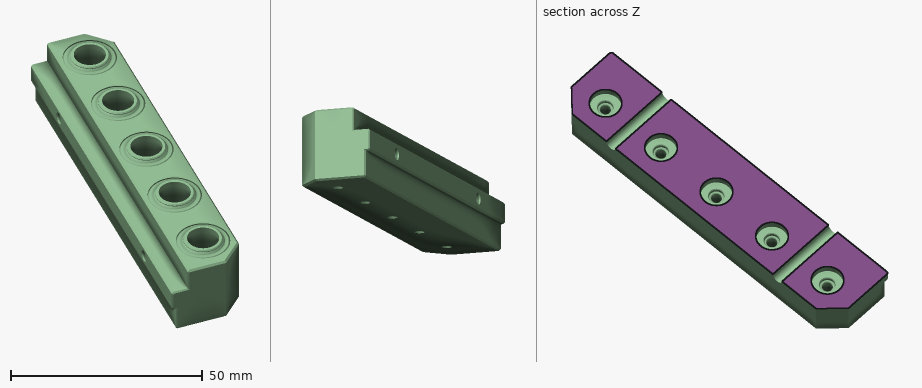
import cadquery as cq

LENGTH = 100.0
BODY_HEIGHT = 19.0
RIB_FRONT = 21.2
LOWER_FRONT = 20.0
UPPER_FRONT = 16.7
RIB_BOTTOM = 7.1
RIB_TOP = 12.9
CORNER_CUT = 6.0
EDGE_CHAMFER = 0.5
END_CHAMFER = 0.35

PORT_COUNT = 5
PORT_PITCH = 20.0
PORT_Y = -8.5
BOSS_HEIGHT = 1.0
BOSS_BASE_DIAMETER = 11.4
BOSS_DIAMETER = 10.4
BOSS_EDGE_CHAMFER = 0.3
GROOVE_OUTER_DIAMETER = 14.2
GROOVE_WIDTH = 0.4
GROOVE_DEPTH = 0.4
BORE_DIAMETER = 8.4
BORE_DEPTH = 12.0
DRAIN_DIAMETER = 2.8
DRAIN_MOUTH_DIAMETER = 4.1
DRAIN_MOUTH_DEPTH = 1.0
DRAIN_CHAMFER = 0.2

MOUNT_DIAMETER = 3.2
MOUNT_SPACING = 60.0
MOUNT_Z = 10.0


def make_body():
    """Stepped bar with a front rib, cut back corners and broken edges."""
    profile = [
        (0, 0),
        (-LOWER_FRONT + EDGE_CHAMFER, 0),
        (-LOWER_FRONT, EDGE_CHAMFER),
        (-LOWER_FRONT, RIB_BOTTOM),
        (-RIB_FRONT + EDGE_CHAMFER, RIB_BOTTOM),
        (-RIB_FRONT, RIB_BOTTOM + EDGE_CHAMFER),
        (-RIB_FRONT, RIB_TOP - EDGE_CHAMFER),
        (-RIB_FRONT + EDGE_CHAMFER, RIB_TOP),
        (-UPPER_FRONT, RIB_TOP),
        (-UPPER_FRONT, BODY_HEIGHT - EDGE_CHAMFER),
        (-UPPER_FRONT + EDGE_CHAMFER, BODY_HEIGHT),
        (0, BODY_HEIGHT),
    ]
    half = LENGTH / 2
    bar = cq.Workplane("YZ").polyline(profile).close().extrude(half, both=True)
    bar = bar.faces("<X or >X").chamfer(END_CHAMFER)

    plan = [
        (-half, -RIB_FRONT),
        (half, -RIB_FRONT),
        (half, -CORNER_CUT),
        (half - CORNER_CUT, 0),
        (-half + CORNER_CUT, 0),
        (-half, -CORNER_CUT),
    ]
    envelope = cq.Workplane("XY").polyline(plan).close().extrude(BODY_HEIGHT)
    envelope = envelope.faces("<Z or >Z").chamfer(EDGE_CHAMFER)
    return bar.intersect(envelope)


def revolve_at_origin(profile):
    """Solid of revolution about Z from (radius, height) points."""
    return cq.Workplane("XZ").polyline(profile).close().revolve(360, (0, 0), (0, 1))


def make_boss():
    """Low collar flared at its foot, with a broken top edge; it starts inside the bar."""
    base_radius = BOSS_BASE_DIAMETER / 2
    boss_radius = BOSS_DIAMETER / 2
    boss_root = BODY_HEIGHT - BOSS_HEIGHT
    boss_top = BODY_HEIGHT + BOSS_HEIGHT
    return revolve_at_origin([
        (0, boss_root),
        (base_radius, boss_root),
        (base_radius, BODY_HEIGHT),
        (boss_radius, BODY_HEIGHT + base_radius - boss_radius),
        (boss_radius, boss_top - BOSS_EDGE_CHAMFER),
        (boss_radius - BOSS_EDGE_CHAMFER, boss_top),
        (0, boss_top),
    ])


def make_groove():
    """V groove around the collar: upright outer wall, sloping inner wall."""
    outer_radius = GROOVE_OUTER_DIAMETER / 2
    return revolve_at_origin([
        (outer_radius, BODY_HEIGHT - GROOVE_DEPTH),
        (outer_radius, BODY_HEIGHT),
        (outer_radius - GROOVE_WIDTH, BODY_HEIGHT),
    ])


def make_bore():
    """Flat-bottomed bore with a stepped, chamfered drain hole through to the underside."""
    bore_floor = BODY_HEIGHT + BOSS_HEIGHT - BORE_DEPTH
    mouth_floor = bore_floor - DRAIN_MOUTH_DEPTH
    bore_top = BODY_HEIGHT + BOSS_HEIGHT
    bore_radius = BORE_DIAMETER / 2
    drain_radius = DRAIN_DIAMETER / 2
    mouth_radius = DRAIN_MOUTH_DIAMETER / 2
    return revolve_at_origin([
        (0, 0),
        (drain_radius, 0),
        (drain_radius, mouth_floor - DRAIN_CHAMFER),
        (drain_radius + DRAIN_CHAMFER, mouth_floor),
        (mouth_radius, mouth_floor),
        (mouth_radius, bore_floor - DRAIN_CHAMFER),
        (mouth_radius + DRAIN_CHAMFER, bore_floor),
        (bore_radius, bore_floor),
        (bore_radius, bore_top),
        (0, bore_top),
    ])


def make_mount_hole(x):
    """Round hole along Y through the full depth of the bar."""
    start = cq.Workplane("XZ", origin=(x, 0, MOUNT_Z))
    return start.circle(MOUNT_DIAMETER / 2).extrude(RIB_FRONT)


result = make_body()

for index in range(PORT_COUNT):
    port_place = ((index - (PORT_COUNT - 1) / 2) * PORT_PITCH, PORT_Y, 0)
    result = result.cut(make_groove().translate(port_place))
    result = result.union(make_boss().translate(port_place))
    result = result.cut(make_bore().translate(port_place))

for side in (-1, 1):
    result = result.cut(make_mount_hole(side * MOUNT_SPACING / 2))